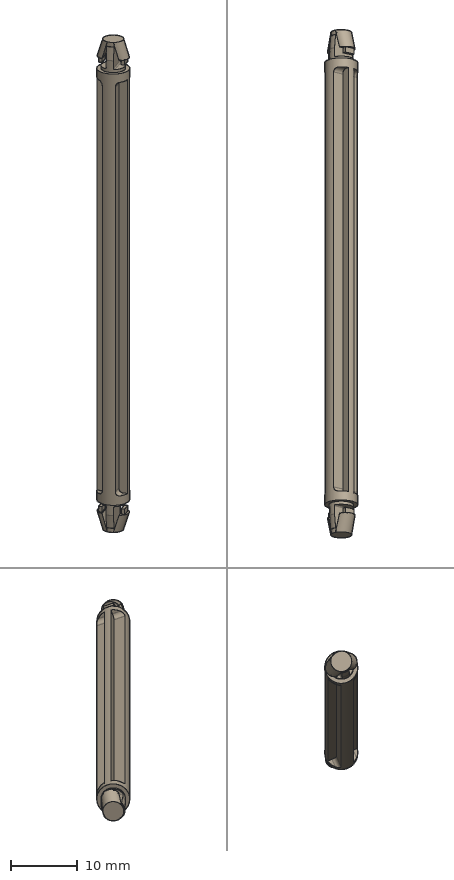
import cadquery as cq

total_length = 78.8
body_diameter = 5.0
clip_length = 4.7
collar_diameter = 3.7
collar_height = 0.5
head_diameter = 3.15

band_height = 1.4
wide_rib = 2.05
narrow_rib = 1.0
flute_end_radius = 0.7

post_thickness = 1.2
cap_height = 0.7
post_top_radius = 1.65
post_root_fillet = 0.15
barb_length = 2.8
barb_end_radius = 1.4
barb_inner_top = 0.5
barb_inner_bottom = 1.35
tab_inner = 1.5
tab_thickness = 0.55
tab_width = 1.65
tab_drop = 0.9

body_radius = body_diameter / 2
collar_radius = collar_diameter / 2
head_radius = head_diameter / 2
top = total_length / 2
body_top = top - clip_length
collar_top = body_top + collar_height
barb_bottom = top - barb_length
barb_end_center = body_radius - barb_end_radius


def make_body():
    """Round bar with four corner flutes that leave a cross-shaped section."""
    body = cq.Workplane("XY").circle(body_radius).extrude(2 * body_top)
    body = body.translate((0, 0, -body_top))
    flute_length = 2 * (body_top - band_height)
    flute_size = body_diameter
    flute = (
        cq.Workplane("XY")
        .box(flute_size, flute_size, flute_length, centered=(False, False, True))
        .edges("|Y and <X")
        .fillet(flute_end_radius)
        .translate((wide_rib / 2, narrow_rib / 2, 0))
    )
    fluted_side = flute.union(flute.mirror("XZ"))
    return body.cut(fluted_side).cut(fluted_side.mirror("YZ"))


def make_post():
    """Collar and flat-sided post, tapered above the barb ends and capped by a straight stub."""
    collar = cq.Workplane("XY", origin=(0, 0, body_top)).circle(collar_radius).extrude(collar_height)
    turned_profile = (
        cq.Workplane("XZ")
        .moveTo(0, collar_top)
        .lineTo(collar_radius, collar_top)
        .lineTo(collar_radius, barb_bottom)
        .lineTo(post_top_radius, top - cap_height)
        .lineTo(head_radius, top - cap_height)
        .lineTo(head_radius, top)
        .lineTo(0, top)
        .close()
    )
    turned_post = turned_profile.revolve(360, (0, 0, 0), (0, 1, 0))
    plate = cq.Workplane("XY").box(post_thickness, body_diameter, 2 * top)
    post = collar.union(turned_post.intersect(plate))
    root_edges = cq.selectors.BoxSelector(
        (-post_thickness, -body_radius, collar_top - post_root_fillet / 2),
        (post_thickness, body_radius, collar_top + post_root_fillet / 2),
    )
    return post.edges(root_edges).edges("|Y").fillet(post_root_fillet)


def make_rim(radius, center_x, height):
    """Level circle that starts on its -X side, so the loft seam falls on the side cut away."""
    center = cq.Vector(center_x, 0, height)
    circle = cq.Wire.makeCircle(radius, center, cq.Vector(0, 0, 1))
    return circle.rotate(center, center + cq.Vector(0, 0, 0.8), 180)


def make_barb():
    """Leaning barb on the +X side: a segment of a leaning, tapered rod, with a tab below."""
    upper_rim = make_rim(head_radius, 0, top)
    lower_rim = make_rim(barb_end_radius, barb_end_center, barb_bottom)
    leaning_rod = cq.Workplane(cq.Solid.makeLoft([upper_rim, lower_rim], True))
    barb_side = (
        cq.Workplane("XZ")
        .polyline([
            (barb_inner_top, top),
            (body_diameter, top),
            (body_diameter, barb_bottom),
            (barb_inner_bottom, barb_bottom),
        ])
        .close()
        .extrude(body_radius, both=True)
    )
    tab = (
        cq.Workplane("XY")
        .box(tab_thickness, tab_width, tab_drop, centered=(False, True, False))
        .translate((tab_inner, 0, barb_bottom - tab_drop))
    )
    return leaning_rod.intersect(barb_side).union(tab)


barb = make_barb()
clip = make_post().union(barb).union(barb.mirror("YZ"))
result = make_body().union(clip).union(clip.mirror("XY"))